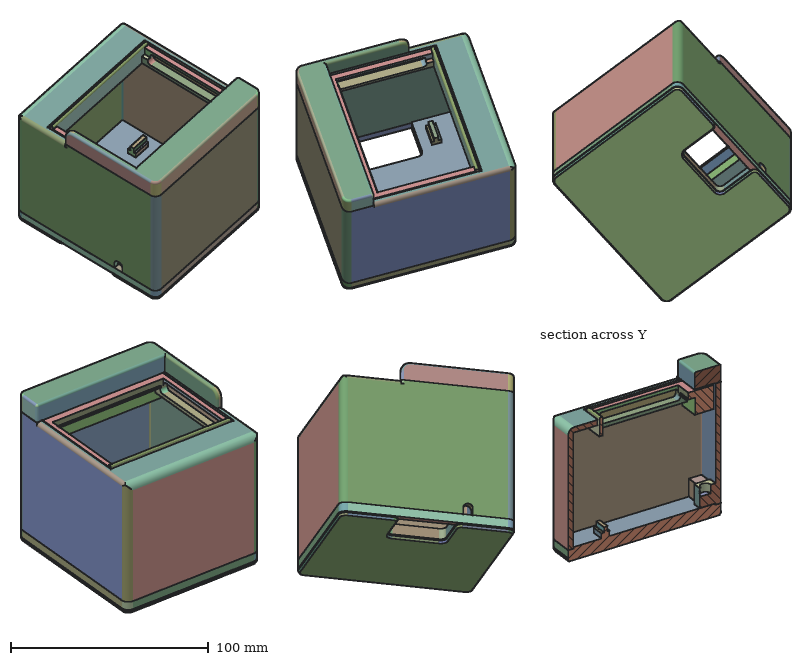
import cadquery as cq

LENGTH = 92.0
WIDTH = 84.49
HEIGHT = 87.11
WALL = 3.4
CORNER_RADIUS = 4.0

BASE_TOP = 7.0
HOUSING_TOP = 77.0

LEFT_EDGE_RADIUS = 4.0
SIDE_EDGE_RADIUS = 2.0

OPENING_LEFT = 17.9

FOOT_HEIGHT = 2.1
FOOT_BOTTOM_CHAMFER_HEIGHT = 1.3
FOOT_BOTTOM_CHAMFER_INSET = 0.8
FOOT_TOP_BEVEL_HEIGHT = 0.7
FOOT_TOP_BEVEL_INSET = 0.2
LIP_HEIGHT = 0.8
NOTCH_LEFT = 30.9
NOTCH_RIGHT = 61.2
NOTCH_BACK = 23.8
NOTCH_RADIUS = 3.0

CLIP_LEFT = 20.0
CLIP_WALL_LEFT = 21.6
CLIP_WALL_RIGHT = 23.9
CLIP_RIGHT = 25.1
CLIP_FRONT = 9.2
CLIP_LENGTH = 10.2
CLIP_FOOT_HEIGHT = 3.0
CLIP_WALL_HEIGHT = 6.0

CABLE_X = 67.0
CABLE_WIDTH = 5.0
CABLE_TOP = 13.1
CABLE_ARCH_RADIUS = 2.49

BOSS_LEFT = 81.0
BOSS_TOP = 18.2
PAD_RISE = 1.2
PAD_LEFT = 79.0
PAD_FRONT = 63.2
PAD_BACK = 73.0
SOCKET_DIAMETER = 6.0
SOCKET_DEPTH = 5.0
SOCKET_X = 82.8

COVER_BLOCK_LEFT = 76.0
WING_LEFT = 32.0
WING_CORNER_RADIUS = 5.0
COVER_EDGE_RADIUS = 1.2

FRAME_GAP = 0.9
FRAME_TOP = 76.5
FRAME_BOTTOM = 66.8
FRAME_RIGHT = LENGTH - WALL - FRAME_GAP
FRAME_OUTER_Y = WALL + FRAME_GAP
FRAME_INNER_Y = 9.3
FRAME_UPPER_INNER_Y = 7.2
CROSSBAR_LEFT = 71.3
CROSSBAR_UPPER_LEFT = 72.2
SLOT_LEFT = 24.7
SLOT_END_RADIUS = 2.0
SLOT_BOTTOM = 69.0
SLOT_TOP = 74.5
SLOT_BACK_Y = 4.7
CROSSBAR_WEB_LEFT = 76.3
CROSSBAR_WEB_BOTTOM = 62.3
CROSSBAR_LIP_TOP = 73.0
CROSSBAR_LIP_THICKNESS = 0.8
GRIP_X = 20.0
GRIP_RADIUS = 1.0


def box(x0, x1, y0, y1, z0, z1):
    """Box between two opposite corners."""
    return cq.Workplane("XY").box(x1 - x0, y1 - y0, z1 - z0, centered=False).translate((x0, y0, z0))


def rounded_block(z0, z1):
    """Full footprint with rounded vertical corners."""
    return box(0, LENGTH, 0, WIDTH, z0, z1).edges("|Z").fillet(CORNER_RADIUS)


def cavity_block(z0, z1):
    """Inside of the walls, its corners concentric with the outer ones."""
    block = box(WALL, LENGTH - WALL, WALL, WIDTH - WALL, z0, z1)
    return block.edges("|Z").fillet(CORNER_RADIUS - WALL)


def mirrored_in_width(shape):
    """Copy of a shape reflected about the middle of the width."""
    return shape.mirror("XZ", (0, WIDTH / 2, 0))


def notch_pocket(front, z0, z1):
    """Notch volume from the given front plane, with rounded inner corners."""
    pocket = box(NOTCH_LEFT, NOTCH_RIGHT, front, NOTCH_BACK, z0, z1)
    return pocket.edges("|Z and >Y").fillet(NOTCH_RADIUS)


def make_base():
    foot = rounded_block(0, FOOT_HEIGHT).cut(notch_pocket(0, 0, FOOT_HEIGHT))
    for x in (NOTCH_LEFT, NOTCH_RIGHT):
        mouth_edge = cq.selectors.NearestToPointSelector((x, 0, FOOT_HEIGHT / 2))
        foot = foot.edges("|Z").edges(mouth_edge).fillet(NOTCH_RADIUS)
    foot = foot.faces("<Z").chamfer(FOOT_BOTTOM_CHAMFER_HEIGHT, FOOT_BOTTOM_CHAMFER_INSET)
    foot = foot.faces(">Z").chamfer(FOOT_TOP_BEVEL_HEIGHT, FOOT_TOP_BEVEL_INSET)

    lip_top = BASE_TOP + LIP_HEIGHT
    floor = rounded_block(FOOT_HEIGHT, BASE_TOP).union(cavity_block(BASE_TOP, lip_top))
    floor = floor.cut(notch_pocket(WALL, FOOT_HEIGHT, lip_top))

    clip_back = CLIP_FRONT + CLIP_LENGTH
    clip_foot_top = lip_top + CLIP_FOOT_HEIGHT
    clip_wall_top = lip_top + CLIP_WALL_HEIGHT
    clip = box(CLIP_LEFT, CLIP_RIGHT, CLIP_FRONT, clip_back, BASE_TOP, clip_foot_top)
    clip_wall = box(CLIP_WALL_LEFT, CLIP_WALL_RIGHT, CLIP_FRONT, clip_back, clip_foot_top, clip_wall_top)
    clip = clip.union(clip_wall)
    return foot.union(floor).union(clip).union(mirrored_in_width(clip))


def side_edge_rounding(x_end):
    """Material outside the rounded top edge along the front side, up to x_end."""
    z0 = HOUSING_TOP - SIDE_EDGE_RADIUS
    bar = box(0, x_end, 0, SIDE_EDGE_RADIUS, z0, HOUSING_TOP)
    keep = cq.Workplane("YZ").center(SIDE_EDGE_RADIUS, z0).circle(SIDE_EDGE_RADIUS).extrude(x_end)
    return bar.cut(keep)


def wing_root_rounding():
    """Material outside the wing's rounded upright edge, just below the cover."""
    r = COVER_EDGE_RADIUS
    z0 = HOUSING_TOP - SIDE_EDGE_RADIUS
    post = box(WING_LEFT, WING_LEFT + r, 0, r, z0, HOUSING_TOP)
    keep = cq.Workplane("XY", (WING_LEFT + r, r, z0)).circle(r).extrude(SIDE_EDGE_RADIUS)
    return post.cut(keep)


def make_corner_boss():
    """Boss in the right back corner, with a raised pad around a round socket."""
    right = LENGTH - WALL
    back = WIDTH - WALL
    bottom = BASE_TOP + LIP_HEIGHT
    pad_top = BOSS_TOP + PAD_RISE
    boss = box(BOSS_LEFT, right, PAD_BACK, back, bottom, BOSS_TOP)
    pad = box(PAD_LEFT, right, PAD_FRONT, PAD_BACK, bottom, pad_top)
    socket = cq.Workplane("XY", (SOCKET_X, (PAD_FRONT + PAD_BACK) / 2, pad_top - SOCKET_DEPTH))
    return boss.union(pad).cut(socket.circle(SOCKET_DIAMETER / 2).extrude(SOCKET_DEPTH))


def make_housing():
    housing = rounded_block(BASE_TOP, HOUSING_TOP)
    profile = box(0, LENGTH, 0, WIDTH, BASE_TOP, HOUSING_TOP)
    housing = housing.intersect(profile.edges("<X and >Z").fillet(LEFT_EDGE_RADIUS))
    housing = housing.cut(side_edge_rounding(WING_LEFT)).cut(wing_root_rounding())
    housing = housing.cut(mirrored_in_width(side_edge_rounding(COVER_BLOCK_LEFT)))

    housing = housing.cut(cavity_block(BASE_TOP, HOUSING_TOP - WALL))
    opening = box(OPENING_LEFT, LENGTH - WALL, WALL, WIDTH - WALL, BASE_TOP, HOUSING_TOP)
    housing = housing.cut(opening.edges("|Z and >X").fillet(CORNER_RADIUS - WALL))

    half = CABLE_WIDTH / 2
    cable = box(CABLE_X - half, CABLE_X + half, 0, WALL, BASE_TOP, CABLE_TOP)
    housing = housing.cut(cable.edges("|Y and >Z").fillet(CABLE_ARCH_RADIUS))
    return housing.union(make_corner_boss())


def make_cover():
    wing = box(WING_LEFT, LENGTH, 0, WALL, HOUSING_TOP, HEIGHT)
    wing = wing.edges("|Y and <X and >Z").fillet(WING_CORNER_RADIUS)
    cover = box(COVER_BLOCK_LEFT, LENGTH, 0, WIDTH, HOUSING_TOP, HEIGHT).union(wing)
    cover = cover.intersect(rounded_block(HOUSING_TOP, HEIGHT))
    back_upright = cq.selectors.NearestToPointSelector((COVER_BLOCK_LEFT, WIDTH, (HOUSING_TOP + HEIGHT) / 2))
    cover = cover.edges("|Z").edges(back_upright).fillet(COVER_EDGE_RADIUS)
    rim = cover.faces(">Z").edges().vals()
    return cover.newObject(rim).fillet(COVER_EDGE_RADIUS)


def make_rail():
    """Front rail: thin upper part, thick lower part and a slot with rounded ends facing inward."""
    rail = box(GRIP_X, FRAME_RIGHT, FRAME_OUTER_Y, FRAME_INNER_Y, FRAME_BOTTOM, FRAME_TOP)
    step_z = (SLOT_BOTTOM + SLOT_TOP) / 2
    step = box(GRIP_X, CROSSBAR_UPPER_LEFT, FRAME_UPPER_INNER_Y, FRAME_INNER_Y, step_z, FRAME_TOP)
    slot = box(SLOT_LEFT, CROSSBAR_UPPER_LEFT, SLOT_BACK_Y, FRAME_INNER_Y, SLOT_BOTTOM, SLOT_TOP)
    return rail.cut(step).cut(slot.edges("|Y").fillet(SLOT_END_RADIUS))


def make_grip():
    """Upright bar with a half-round top, joining the left ends of the rails."""
    left = GRIP_X - GRIP_RADIUS
    right = GRIP_X + GRIP_RADIUS
    outline = cq.Workplane("XZ", (0, FRAME_OUTER_Y, 0)).moveTo(left, FRAME_BOTTOM).lineTo(right, FRAME_BOTTOM)
    outline = outline.lineTo(right, HOUSING_TOP)
    outline = outline.threePointArc((GRIP_X, HOUSING_TOP + GRIP_RADIUS), (left, HOUSING_TOP)).close()
    return outline.extrude(2 * FRAME_OUTER_Y - WIDTH)


def make_frame():
    rail = make_rail()
    far_y = WIDTH - FRAME_INNER_Y
    lip_bottom = CROSSBAR_LIP_TOP - CROSSBAR_LIP_THICKNESS
    web_far_y = WIDTH - FRAME_OUTER_Y
    web = box(CROSSBAR_WEB_LEFT, FRAME_RIGHT, FRAME_OUTER_Y, web_far_y, CROSSBAR_WEB_BOTTOM, lip_bottom)
    lip = box(CROSSBAR_LEFT, FRAME_RIGHT, FRAME_INNER_Y, far_y, lip_bottom, CROSSBAR_LIP_TOP)
    upper = box(CROSSBAR_UPPER_LEFT, FRAME_RIGHT, FRAME_INNER_Y, far_y, CROSSBAR_LIP_TOP, FRAME_TOP)
    crossbar = web.union(lip).union(upper)
    return crossbar.union(rail).union(mirrored_in_width(rail)).union(make_grip())


base = make_base()
housing = make_housing()
cover = make_cover()
frame = make_frame()

result = cq.Compound.makeCompound([base.val(), housing.val(), cover.val(), frame.val()])